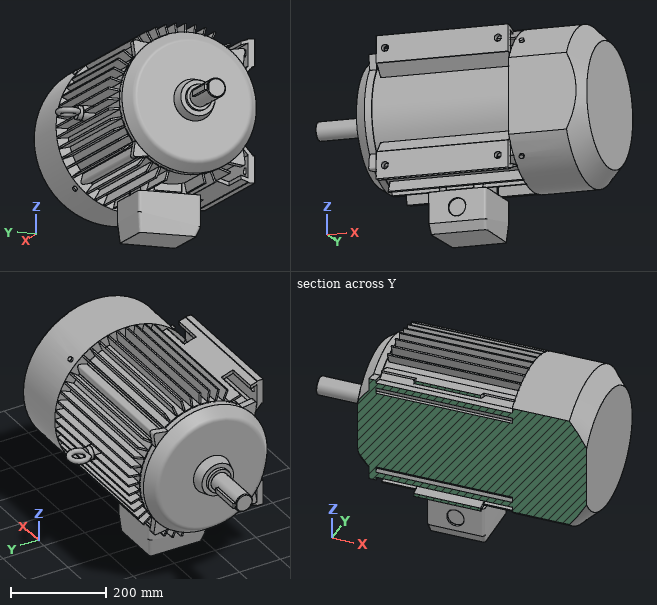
import cadquery as cq
import math


total_length = 654.6
collar_start = 101.0
hub_start = 108.8
bell_face = 133.0
bell_rim_start = 160.0
bell_rim_end = 176.0
fins_start = 182.0
feet_start = 189.3
cover_start = 485.4
cover_cone_start = 615.3
middle = 337.4

shaft_radius = 21.0
shaft_chamfer = 2.0
collar_radius = 28.0
hub_tip_radius = 38.6
hub_root_radius = 45.0
bell_face_radius = 132.5
bell_rim_radius = 151.6
bell_edge_fillet = 12.0
key_start = 2.0
key_end = 74.0
key_width = 12.0
key_floor = 16.0
key_top = 26.0

frame_radius = 149.5
cover_radius = 175.0
cover_end_radius = 137.0
cover_flat = 154.0
fin_thickness = 4.0
fin_pitch = 7.5
fin_floor = -165.5
embed = 10.0

lug_angles = [45, 135, 225, 315]
bell_lug_base = 22.0
bell_lug_tip_centre = 171.0
frame_lug_base = 13.0
frame_lug_tip_centre = 161.5
lug_tip_radius = 5.0
cover_screw_x = 504.0
cover_screw_radius = 5.0
cover_screw_top = 180.0

foot_base = 159.0
foot_thickness = 15.0
foot_back = foot_thickness - foot_base
foot_outer = 155.2
foot_inner = 96.0
upper_leg_slope = 0.31
upper_leg_top = 153.7
upper_leg_height = 8.5
upper_sheet_thickness = 4.0
lower_leg_slope = 1.11
lower_leg_height = 12.5
lower_leg_setback = 3.7
window_top = 99.8
window_bottom = 128.0
front_window_end = 261.4
rear_window_start = 414.0
upper_root = 65.0
lower_root = 122.0
foot_hole_spacing = 254.0
foot_hole_diameter = 15.0
first_foot_hole = 208.8

boss_radius = 16.2
boss_top = 175.5
eye_collar_radius = 15.0
eye_collar_top = 186.5
eye_tube_radius = 6.4
eye_ring_radius = 20.4
eye_top = 390.27 - foot_base

box_length = 130.8
box_width = 141.2
box_top = -171.0
box_bottom = cover_radius - 435.63
box_seam_high = -216.7
box_seam_low = -239.5
box_draft = math.tan(math.radians(5.5))
box_foot_side_inset = 10.0
box_corner = 6.0
neck_half_size = 54.0
neck_corner = 23.0
neck_recess = 2.0
cable_hole_diameter = 39.0
cable_hole_depth = 5.0
cable_hole_z = -208.0


def axial_prism(outline, start, end):
    """Extrude a sketch on a YZ plane at x = start up to x = end."""
    return outline(cq.Workplane("YZ", origin=(start, 0, 0))).extrude(end - start)


def block(x0, x1, y0, y1, z0, z1):
    return cq.Workplane("XY").box(x1 - x0, y1 - y0, z1 - z0, centered=False).translate((x0, y0, z0))


def turned_body():
    profile = [
        (0, 0),
        (0, shaft_radius - shaft_chamfer),
        (shaft_chamfer, shaft_radius),
        (collar_start, shaft_radius),
        (collar_start, collar_radius),
        (hub_start, collar_radius),
        (hub_start, hub_tip_radius),
        (bell_face, hub_root_radius),
        (bell_face, bell_face_radius),
        (bell_rim_start, bell_rim_radius),
        (bell_rim_end, bell_rim_radius),
        (bell_rim_end, frame_radius),
        (cover_start, frame_radius),
        (cover_start, cover_radius),
        (cover_cone_start, cover_radius),
        (total_length, cover_end_radius),
        (total_length, 0),
    ]
    body = cq.Workplane("XY").polyline(profile).close().revolve(360, (0, 0, 0), (1, 0, 0))
    bell_edge = [edge for edge in body.edges("%CIRCLE").vals()
                 if math.isclose(edge.radius(), bell_face_radius)]
    body = body.newObject(bell_edge).fillet(bell_edge_fillet)
    flat_cut = block(cover_start, total_length, -cover_radius, -cover_flat,
                     -cover_radius, cover_radius)
    return body.cut(flat_cut)


def fins():
    eyebolt_side = range(-5, 6)
    top_side = range(7, 16)
    box_side = (-7, -8, -9, -10, -14, -15)
    fin = block(fins_start, cover_start, frame_radius - embed, cover_radius,
                -fin_thickness / 2, fin_thickness / 2)
    clearance = block(fins_start, cover_start, -cover_radius, cover_radius,
                      -cover_radius, fin_floor)
    return [
        fin.rotate((0, 0, 0), (1, 0, 0), index * fin_pitch).cut(clearance)
        for index in (*eyebolt_side, *top_side, *box_side)
    ]


def lug(base_half_width, tip_centre, start, end):
    """Lug pointing to +Y: two sides tangent to a round tip."""
    root = frame_radius - embed
    side_run = tip_centre - frame_radius
    base_distance = math.hypot(base_half_width, side_run)
    base_direction = math.atan2(base_half_width, -side_run)
    tangent_direction = base_direction - math.acos(lug_tip_radius / base_distance)
    side_y = tip_centre + lug_tip_radius * math.cos(tangent_direction)
    side_z = lug_tip_radius * math.sin(tangent_direction)

    def outline(plane):
        return (
            plane.moveTo(root, -base_half_width)
            .lineTo(frame_radius, -base_half_width)
            .lineTo(side_y, -side_z)
            .threePointArc((tip_centre + lug_tip_radius, 0), (side_y, side_z))
            .lineTo(frame_radius, base_half_width)
            .lineTo(root, base_half_width)
            .close()
        )

    return axial_prism(outline, start, end)


def diagonal_features():
    bell_lug = lug(bell_lug_base, bell_lug_tip_centre, bell_rim_start, bell_rim_end)
    frame_lug = lug(frame_lug_base, frame_lug_tip_centre, bell_rim_end, cover_start)
    screw = (
        cq.Workplane("XZ", origin=(cover_screw_x, cover_screw_top, 0))
        .circle(cover_screw_radius)
        .extrude(cover_screw_top - frame_radius)
    )
    cluster = bell_lug.union(frame_lug).union(screw)
    return [cluster.rotate((0, 0, 0), (1, 0, 0), angle) for angle in lug_angles]


def upper_leg_z(y):
    return upper_leg_top - upper_leg_slope * (y - foot_back)


def upper_sheet(plane):
    """Thin inner part of the upper leg, ending square at the windows."""
    tilt = math.atan(upper_leg_slope)
    drop_y = upper_sheet_thickness * math.sin(tilt)
    drop_z = upper_sheet_thickness * math.cos(tilt)
    edges = [(y, upper_leg_z(y)) for y in (-window_top, -upper_root)]
    lower_edges = [(y - drop_y, z - drop_z) for y, z in reversed(edges)]
    return plane.polyline(edges + lower_edges).close()


def upper_web(inner_y):
    """Full-depth upper leg from the foot plate in to inner_y."""
    def outline(plane):
        return plane.polyline([
            (foot_back, upper_leg_top),
            (inner_y, upper_leg_z(inner_y)),
            (inner_y, upper_leg_z(inner_y) - upper_leg_height),
            (foot_back, upper_leg_top - upper_leg_height),
        ]).close()

    return outline


def lower_leg_outline(plane):
    edge_y = lower_leg_setback - foot_base
    root_y = -lower_root
    back_z = foot_inner - lower_leg_slope * (foot_back - edge_y)
    root_z = foot_inner - lower_leg_slope * (root_y - edge_y)
    return plane.polyline([
        (edge_y, foot_inner),
        (foot_back, foot_inner),
        (foot_back, back_z + lower_leg_height),
        (root_y, root_z + lower_leg_height),
        (root_y, root_z),
    ]).close()


def foot():
    plate = block(feet_start, cover_start, -foot_base, foot_back, foot_inner, foot_outer)
    sheet = axial_prism(upper_sheet, fins_start, cover_start)
    web = axial_prism(upper_web(-upper_root), front_window_end, rear_window_start)
    strip = axial_prism(upper_web(-window_bottom), feet_start, cover_start)
    lower_leg = axial_prism(lower_leg_outline, feet_start, cover_start)
    hole_points = [(first_foot_hole + i * foot_hole_spacing, foot_hole_spacing / 2) for i in (0, 1)]
    holes = (
        cq.Workplane("XZ", origin=(0, foot_back, 0))
        .pushPoints(hole_points)
        .circle(foot_hole_diameter / 2)
        .extrude(foot_thickness)
    )
    return plate.union(lower_leg).union(strip).union(web).union(sheet).cut(holes)


def eyebolt():
    def post(radius, top):
        return (
            cq.Workplane("XZ", origin=(middle, top, 0))
            .circle(radius)
            .extrude(top - frame_radius + embed)
        )

    ring_centre = eye_top - eye_ring_radius - eye_tube_radius
    ring = cq.Workplane(
        cq.Solid.makeTorus(eye_ring_radius, eye_tube_radius,
                           cq.Vector(middle, ring_centre, 0), cq.Vector(0, 0, 1)))
    return post(boss_radius, boss_top).union(post(eye_collar_radius, eye_collar_top)).union(ring)


def corner_edges(cap):
    """The four edges of the cap that run from the seam down to the floor."""
    middle_low = (box_bottom + box_seam_low) / 2
    middle_high = (box_bottom + box_seam_high) / 2
    return [edge for edge in cap.edges().vals()
            if any(math.isclose(edge.Center().z, z) for z in (middle_low, middle_high))]


def terminal_box():
    half_length = box_length / 2
    half_width = box_width / 2

    body = (
        cq.Workplane("YZ", origin=(middle - half_length, 0, 0))
        .polyline([
            (half_width, box_top),
            (half_width, box_seam_high),
            (-half_width, box_seam_low),
            (-half_width, box_top),
        ])
        .close()
        .extrude(box_length)
        .edges("|Z")
        .fillet(box_corner)
    )

    high_inset = box_draft * (box_seam_high - box_bottom)
    low_inset = box_draft * (box_seam_low - box_bottom)
    seam = cq.Wire.makePolygon([
        cq.Vector(middle - half_length, half_width, box_seam_high),
        cq.Vector(middle + half_length, half_width, box_seam_high),
        cq.Vector(middle + half_length, -half_width, box_seam_low),
        cq.Vector(middle - half_length, -half_width, box_seam_low),
    ], close=True)
    floor = cq.Wire.makePolygon([
        cq.Vector(middle - half_length + high_inset, half_width - high_inset, box_bottom),
        cq.Vector(middle + half_length - high_inset, half_width - high_inset, box_bottom),
        cq.Vector(middle + half_length - low_inset, box_foot_side_inset - half_width, box_bottom),
        cq.Vector(middle - half_length + low_inset, box_foot_side_inset - half_width, box_bottom),
    ], close=True)
    cap = cq.Workplane(cq.Solid.makeLoft([seam, floor], True))
    cap = cap.newObject(corner_edges(cap)).fillet(box_corner)

    neck = (
        cq.Workplane("XY", origin=(middle, 0, box_top))
        .rect(2 * neck_half_size, 2 * neck_half_size)
        .extrude(-box_top - frame_radius + 2 * embed)
        .edges("|Z")
        .fillet(neck_corner)
    )
    flat_half = neck_half_size - neck_corner
    recess = block(neck_half_size - neck_recess, neck_half_size, -flat_half, flat_half,
                   fin_floor, -frame_radius + 2 * embed)
    for angle in (0, 90, 180, 270):
        neck = neck.cut(recess.rotate((0, 0, 0), (0, 0, 1), angle).translate((middle, 0, 0)))
    cable_hole = (
        cq.Workplane("XZ", origin=(middle, -half_width + cable_hole_depth, cable_hole_z))
        .circle(cable_hole_diameter / 2)
        .extrude(cable_hole_depth)
    )
    return body.union(cap).union(neck).cut(cable_hole)


def make_key():
    return block(key_start, key_end, key_floor, key_top, -key_width / 2, key_width / 2)


def make_motor(key):
    upper_foot = foot()
    motor = turned_body()
    for fin in fins():
        motor = motor.union(fin)
    for cluster in diagonal_features():
        motor = motor.union(cluster)
    motor = motor.union(upper_foot).union(upper_foot.mirror("XY"))
    motor = motor.union(eyebolt()).union(terminal_box())
    return motor.cut(key)


key = make_key()
motor = make_motor(key)
result = cq.Compound.makeCompound([motor.val(), key.val()])